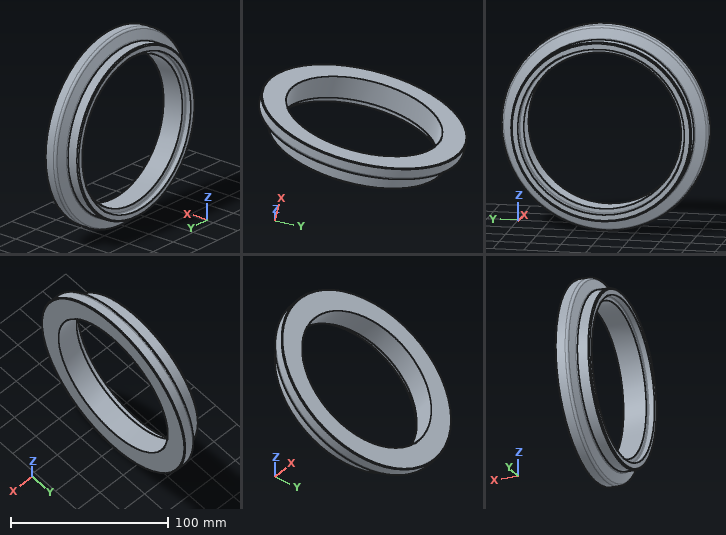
import cadquery as cq
import math

width = 20.0
flange_radius = 134 / 2
bore_radius = 102.0 / 2

spigot_radius = 117.0 / 2
spigot_chamfer = 0.8
seat_radius = 108.0 / 2
seat_depth = 4.4
seat_corner_radius = 0.4

flange_corner_x = 11.9
cone_angle = 20
flange_fillet = 2.0
root_fillet = 1.0
rim_chamfer = 0.5

cone_length = (flange_radius - spigot_radius) * math.tan(math.radians(cone_angle))
root_x = flange_corner_x - cone_length


def ring_at(solid, x, radius):
    """Select the circular edge at a given axial place and radius."""
    tolerance = 0.01
    low = (x - tolerance, -radius - tolerance, -radius - tolerance)
    high = (x + tolerance, radius + tolerance, radius + tolerance)
    edges = solid.edges(cq.selectors.BoxSelector(low, high, boundingbox=True))
    return edges.filter(
        lambda edge: edge.geomType() == "CIRCLE" and abs(edge.radius() - radius) < tolerance
    )


ring = (
    cq.Workplane("XY")
    .moveTo(0, seat_radius)
    .lineTo(0, spigot_radius)
    .lineTo(root_x, spigot_radius)
    .lineTo(flange_corner_x, flange_radius)
    .lineTo(width, flange_radius)
    .lineTo(width, bore_radius)
    .lineTo(seat_depth, bore_radius)
    .lineTo(seat_depth, seat_radius)
    .close()
    .revolve(360, (0, 0, 0), (1, 0, 0))
)

ring = ring_at(ring, 0, spigot_radius).chamfer(spigot_chamfer)
ring = ring_at(ring, width, flange_radius).chamfer(rim_chamfer)
ring = ring_at(ring, root_x, spigot_radius).fillet(root_fillet)
ring = ring_at(ring, flange_corner_x, flange_radius).fillet(flange_fillet)
ring = ring_at(ring, seat_depth, seat_radius).fillet(seat_corner_radius)

result = ring